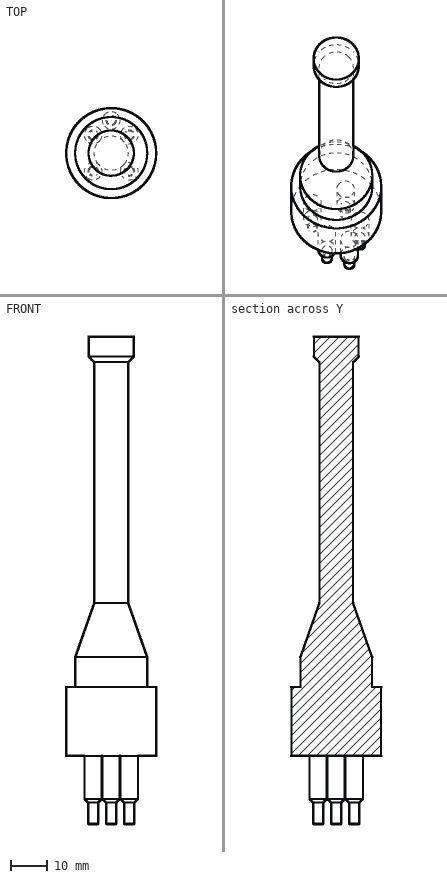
import cadquery as cq

total_length = 135.0

base_diameter = 25.0
collar_diameter = 20.0
stem_diameter = 9.5
head_diameter = 12.5

pin_length = 19.0
base_height = 19.0
collar_height = 8.2
cone_height = 15.0
head_height = 5.5

pin_diameter = 4.9
tip_diameter = 2.8
tip_length = 6.1
tip_chamfer = 0.3
pin_offset = 5.0
key_pin_offset = 9.0


def make_body():
    """Revolve the base, collar, cone, stem and head about Z."""
    base_radius = base_diameter / 2
    collar_radius = collar_diameter / 2
    stem_radius = stem_diameter / 2
    head_radius = head_diameter / 2

    base_top = pin_length + base_height
    collar_top = base_top + collar_height
    cone_top = collar_top + cone_height
    head_bottom = total_length - head_height
    stem_top = head_bottom - (head_radius - stem_radius)

    return (
        cq.Workplane("XZ")
        .moveTo(0, pin_length)
        .lineTo(base_radius, pin_length)
        .lineTo(base_radius, base_top)
        .lineTo(collar_radius, base_top)
        .lineTo(collar_radius, collar_top)
        .lineTo(stem_radius, cone_top)
        .lineTo(stem_radius, stem_top)
        .lineTo(head_radius, head_bottom)
        .lineTo(head_radius, total_length)
        .lineTo(0, total_length)
        .close()
        .revolve(360, (0, 0, 0), (0, 1, 0))
    )


def make_pin():
    """Revolve one stepped pin about Z, with a chamfered tip at Z = 0."""
    pin_radius = pin_diameter / 2
    tip_radius = tip_diameter / 2
    shoulder_top = tip_length + (pin_radius - tip_radius)

    return (
        cq.Workplane("XZ")
        .lineTo(tip_radius - tip_chamfer, 0)
        .lineTo(tip_radius, tip_chamfer)
        .lineTo(tip_radius, tip_length)
        .lineTo(pin_radius, shoulder_top)
        .lineTo(pin_radius, pin_length)
        .lineTo(0, pin_length)
        .close()
        .revolve(360, (0, 0, 0), (0, 1, 0))
    )


pin_positions = [(x, y) for x in (-pin_offset, pin_offset) for y in (-pin_offset, pin_offset)]
pin_positions.append((0, key_pin_offset))

result = make_body()
pin = make_pin()
for x, y in pin_positions:
    result = result.union(pin.translate((x, y, 0)))